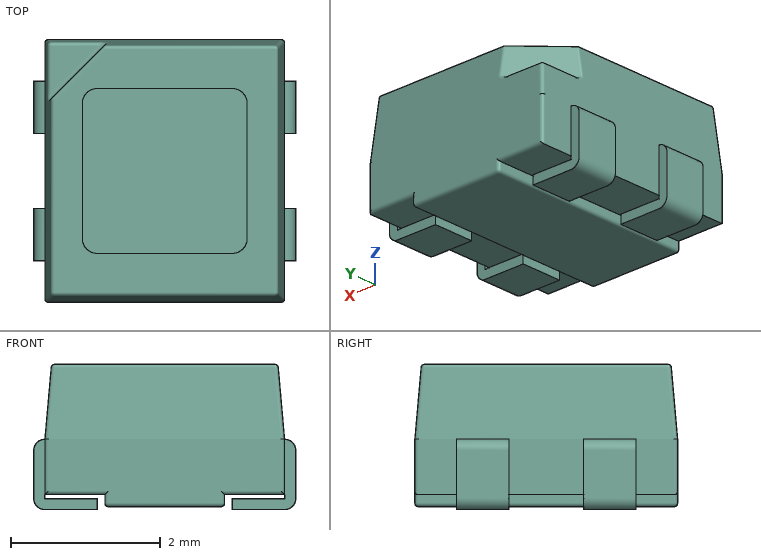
import cadquery as cq
import math


OVERALL_WIDTH = 3.5
OVERALL_HEIGHT = 1.94

HOUSING_WIDTH = 3.2
HOUSING_LENGTH = 3.51
PARTING_HEIGHT = 0.94
WING_BOTTOM = 0.2
KEEL_BOTTOM = 0.04
KEEL_WIDTH = 1.6
DRAFT_ANGLE = 5.0
EDGE_RADIUS = 0.05

NOTCH_TOP_LEG = 0.702
NOTCH_DEPTH = 0.5

LEAD_THICKNESS = (OVERALL_WIDTH - HOUSING_WIDTH) / 2
LEAD_WIDTH = 0.702
LEAD_PITCH = 1.7
FOOT_LENGTH = 0.702

LENS_SIZE = 2.2
LENS_CORNER_RADIUS = 0.2
LENS_DEPTH = NOTCH_DEPTH

HALF_WIDTH = HOUSING_WIDTH / 2
HALF_LENGTH = HOUSING_LENGTH / 2
DRAFT_HEIGHT = OVERALL_HEIGHT - PARTING_HEIGHT
DRAFT_INSET = DRAFT_HEIGHT * math.tan(math.radians(DRAFT_ANGLE))
NOTCH_FLOOR = OVERALL_HEIGHT - NOTCH_DEPTH
NOTCH_LEG = NOTCH_TOP_LEG + 2 * DRAFT_INSET


def make_lower_block():
    """Straight-sided lower housing, with a raised wing on each side of a central keel."""
    half_keel = KEEL_WIDTH / 2
    return (
        cq.Workplane("XZ")
        .moveTo(-HALF_WIDTH, PARTING_HEIGHT)
        .lineTo(-HALF_WIDTH, WING_BOTTOM)
        .lineTo(-half_keel, WING_BOTTOM)
        .lineTo(-half_keel, KEEL_BOTTOM)
        .lineTo(half_keel, KEEL_BOTTOM)
        .lineTo(half_keel, WING_BOTTOM)
        .lineTo(HALF_WIDTH, WING_BOTTOM)
        .lineTo(HALF_WIDTH, PARTING_HEIGHT)
        .close()
        .extrude(HALF_LENGTH, both=True)
    )


def make_upper_block():
    """Upper housing, drafted inwards from the parting plane on all four sides."""
    return (
        cq.Workplane("XY")
        .workplane(offset=PARTING_HEIGHT)
        .rect(HOUSING_WIDTH, HOUSING_LENGTH)
        .extrude(DRAFT_HEIGHT, taper=DRAFT_ANGLE)
    )


def make_notch():
    """Triangular cutter for the polarity notch at the (-X, +Y) corner."""
    return (
        cq.Workplane("XY")
        .workplane(offset=NOTCH_FLOOR)
        .moveTo(-HALF_WIDTH, HALF_LENGTH)
        .lineTo(-HALF_WIDTH, HALF_LENGTH - NOTCH_LEG)
        .lineTo(-HALF_WIDTH + NOTCH_LEG, HALF_LENGTH)
        .close()
        .extrude(NOTCH_DEPTH)
    )


def round_edges(block):
    """Rounds every edge of a block except those on the parting plane and the wing edges along Y."""
    tolerance = 0.0005
    rounded_edges = []
    for edge in block.edges().vals():
        box = edge.BoundingBox()
        level = box.zlen < tolerance
        on_parting_plane = level and abs(box.zmin - PARTING_HEIGHT) < tolerance
        on_wing = abs(box.zmax - WING_BOTTOM) < tolerance
        along_y = level and box.xlen < tolerance
        if not (on_parting_plane or (on_wing and along_y)):
            rounded_edges.append(edge)
    return block.newObject(rounded_edges).fillet(EDGE_RADIUS)


def make_moulding():
    """Housing without its leads: each block is rounded, then the two are joined."""
    lower_block = round_edges(make_lower_block())
    upper_block = round_edges(make_upper_block().cut(make_notch()))
    return lower_block.union(upper_block)


def make_lead():
    """Lead on the +X side, centred on Y = 0: a side strip and a foot with rounded outer bends."""
    outer = HALF_WIDTH + LEAD_THICKNESS
    top_bend = PARTING_HEIGHT - LEAD_THICKNESS
    bend_offset = LEAD_THICKNESS * math.sqrt(0.5)
    return (
        cq.Workplane("XZ")
        .moveTo(HALF_WIDTH, PARTING_HEIGHT)
        .threePointArc((HALF_WIDTH + bend_offset, top_bend + bend_offset), (outer, top_bend))
        .lineTo(outer, LEAD_THICKNESS)
        .threePointArc((HALF_WIDTH + bend_offset, LEAD_THICKNESS - bend_offset), (HALF_WIDTH, 0))
        .lineTo(HALF_WIDTH - FOOT_LENGTH, 0)
        .lineTo(HALF_WIDTH - FOOT_LENGTH, LEAD_THICKNESS)
        .lineTo(HALF_WIDTH, LEAD_THICKNESS)
        .close()
        .extrude(LEAD_WIDTH / 2, both=True)
    )


def make_lens():
    """Rounded square lens, its top flush with the housing."""
    return (
        cq.Workplane("XY")
        .workplane(offset=OVERALL_HEIGHT - LENS_DEPTH)
        .rect(LENS_SIZE, LENS_SIZE)
        .extrude(LENS_DEPTH)
        .edges("|Z")
        .fillet(LENS_CORNER_RADIUS)
    )


def make_housing(lens):
    """Moulding with a recess for the lens and two leads on each side."""
    housing = make_moulding().cut(lens)
    right_lead = make_lead()
    left_lead = right_lead.mirror("YZ")
    for y in (-LEAD_PITCH / 2, LEAD_PITCH / 2):
        for lead in (left_lead, right_lead):
            housing = housing.union(lead.translate((0, y, 0)))
    return housing


lens = make_lens()
housing = make_housing(lens)
result = cq.Compound.makeCompound([housing.solids().val(), lens.val()])